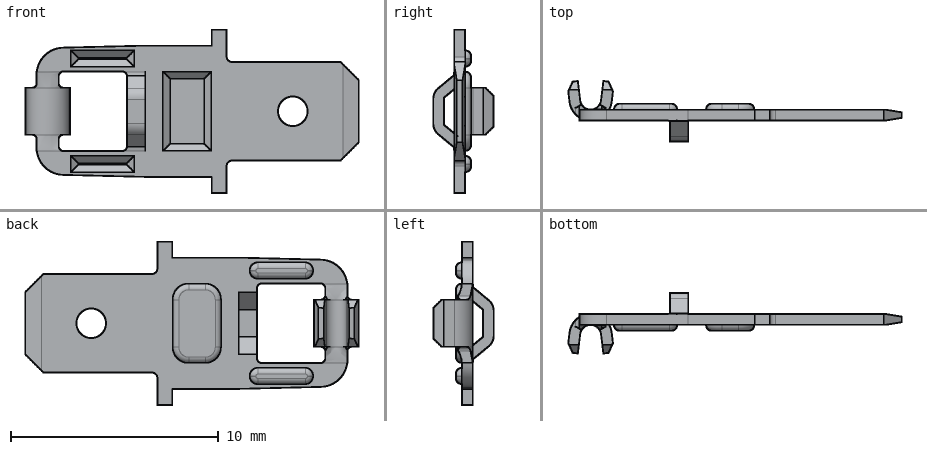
import cadquery as cq
import math

sheet = 0.53

length = 16.07
frame_start_x = 0.55
frame_corner_radius = 1.32
frame_half = 3.17
taper_angle = math.radians(1.4)
taper_end_x = 5.75
shoulder_start_x = 8.98
shoulder_end_x = 9.7
shoulder_half = 3.94
shoulder_fillet = 0.25
blade_half = 2.38
blade_hole_x = 12.89
blade_hole_diameter = 1.41
blade_corner_chamfer = 0.88
blade_bevel_length = 0.77
blade_bevel_depth = 0.13

window_half = 1.91
window_end_x = 5.79
window_corner_fillet = 0.22

emboss_depth = 0.29
emboss_wall_run = 0.35
rib_start_x = 2.2
rib_end_x = 5.25
rib_width = 0.79
rib_corner_radius = 0.39
rib_centre_z = 2.54
pad_start_x = 6.64
pad_end_x = 8.97
pad_corner_radius = 0.77

bridge_start_x = 4.9
bridge_reach = 1.01
bridge_arm_angle = math.radians(50.5)
bridge_inner_flat_half = 0.66
bridge_outer_radius = 0.69
bridge_foot_y = -0.03

clip_radius = 1.03
clip_inner_radius = clip_radius - sheet
clip_half_height = 1.14
clip_arm_angle = math.radians(7)
clip_top_y = 1.91
clip_bevel_length = 0.45
clip_tip_thickness = 0.25
clip_corner_chamfer = 0.42
clip_arc_end = math.pi / 2 - clip_arm_angle
clip_arm_length = (clip_top_y - clip_radius) / math.cos(clip_arm_angle)
clip_arm_length += clip_inner_radius * math.tan(clip_arm_angle)
clip_bevel_start = clip_arm_length - clip_bevel_length
clip_centre_x = clip_radius * math.cos(clip_arm_angle) + clip_bevel_start * math.sin(clip_arm_angle)

web_end_x = 1.62
web_clip_fillet = 0.2
web_half_angle = math.radians(60)


def front_plane(y):
    """Sketch plane with local axes X and Z; extrusion runs towards +Y."""
    return cq.Workplane(cq.Plane(origin=(0, y, 0), xDir=(1, 0, 0), normal=(0, -1, 0)))


def block(x_start, x_end, y_start, y_end, z_start, z_end):
    size = (x_end - x_start, y_end - y_start, z_end - z_start)
    return cq.Workplane("XY").box(*size, centered=False).translate((x_start, y_start, z_start))


def mirrored(body):
    """Join a body with its mirror image across the centre plane Z = 0."""
    return body.union(body.mirror("XY"))


def make_plate():
    corner_x = frame_start_x + frame_corner_radius
    arc_end_x = corner_x - frame_corner_radius * math.sin(taper_angle)
    arc_end_z = frame_half - (taper_end_x - arc_end_x) * math.tan(taper_angle)
    corner_z = arc_end_z - frame_corner_radius * math.cos(taper_angle)
    half_plate = (
        front_plane(0)
        .moveTo(frame_start_x, 0)
        .lineTo(frame_start_x, corner_z)
        .tangentArcPoint((arc_end_x, arc_end_z), relative=False)
        .lineTo(taper_end_x, frame_half)
        .lineTo(shoulder_start_x, frame_half)
        .lineTo(shoulder_start_x, shoulder_half)
        .lineTo(shoulder_end_x, shoulder_half)
        .lineTo(shoulder_end_x, blade_half + shoulder_fillet)
        .radiusArc((shoulder_end_x + shoulder_fillet, blade_half), -shoulder_fillet)
        .lineTo(length - blade_corner_chamfer, blade_half)
        .lineTo(length, blade_half - blade_corner_chamfer)
        .lineTo(length, 0)
        .close()
        .extrude(-sheet)
    )
    window = block(0, window_end_x, 0, sheet, -window_half, window_half)
    hole = front_plane(0).center(blade_hole_x, 0).circle(blade_hole_diameter / 2).extrude(-sheet)
    return mirrored(half_plate).cut(window).cut(hole)


def make_blade_bevel():
    """Wedge removed from the front face at the blade tip."""
    return (
        cq.Workplane("XY")
        .polyline([(length - blade_bevel_length, 0), (length, 0), (length, blade_bevel_depth)])
        .close()
        .extrude(blade_half, both=True)
    )


def emboss(plate, x_start, x_end, z_centre, width, corner_radius):
    """Raise a rounded bump on the back and sink a sloped-wall pocket in the front."""
    x_centre = (x_start + x_end) / 2
    x_size = x_end - x_start
    bump = (
        front_plane(0)
        .center(x_centre, z_centre)
        .rect(x_size, width)
        .extrude(-sheet - emboss_depth)
        .edges("|Y").fillet(corner_radius)
        .faces(">Y").edges().fillet(emboss_depth)
    )
    pocket = (
        front_plane(0)
        .center(x_centre, z_centre)
        .rect(x_size, width)
        .workplane(offset=-emboss_depth)
        .rect(x_size - 2 * emboss_wall_run, width - 2 * emboss_wall_run)
        .loft(ruled=True)
    )
    return plate.union(bump).cut(pocket)


def make_bridge():
    inner_y = sheet - bridge_reach
    arm_slope = math.tan(bridge_arm_angle)
    corner_half = bridge_inner_flat_half + sheet * math.tan(bridge_arm_angle / 2)
    foot_half = corner_half + (bridge_foot_y + bridge_reach) / arm_slope
    inner_back_half = bridge_inner_flat_half + bridge_reach / arm_slope
    start_x = bridge_start_x - window_corner_fillet
    half_outline = [
        (-bridge_reach, 0),
        (-bridge_reach, corner_half),
        (bridge_foot_y, foot_half),
        (0, window_half),
        (sheet, window_half),
        (sheet, inner_back_half),
        (inner_y, bridge_inner_flat_half),
        (inner_y, 0),
    ]
    half_bridge = (
        cq.Workplane("YZ", origin=(start_x, 0, 0))
        .polyline(half_outline)
        .close()
        .extrude(window_end_x - start_x)
        .edges(cq.NearestToPointSelector((window_end_x / 2 + start_x / 2, -bridge_reach, corner_half)))
        .fillet(bridge_outer_radius)
    )
    flared_half = (
        front_plane(-bridge_reach)
        .moveTo(bridge_start_x, 0)
        .lineTo(bridge_start_x, window_half - window_corner_fillet)
        .radiusArc((start_x, window_half), -window_corner_fillet)
        .lineTo(window_end_x, window_half)
        .lineTo(window_end_x, 0)
        .close()
        .extrude(-bridge_reach - sheet)
    )
    return mirrored(half_bridge.intersect(flared_half))


def clip_point(radius, angle, along_arm=0.0):
    """Point on the -X half of the clip, angle measured from straight down at the bottom."""
    x = -radius * math.sin(angle) - along_arm * math.cos(angle)
    y = clip_radius - radius * math.cos(angle) + along_arm * math.sin(angle)
    return (clip_centre_x + x, y)


def make_clip():
    half_clip = (
        cq.Workplane("XY")
        .moveTo(clip_centre_x, 0)
        .threePointArc(clip_point(clip_radius, clip_arc_end / 2), clip_point(clip_radius, clip_arc_end))
        .lineTo(*clip_point(clip_radius, clip_arc_end, clip_bevel_start))
        .lineTo(*clip_point(clip_inner_radius + clip_tip_thickness, clip_arc_end, clip_arm_length))
        .lineTo(*clip_point(clip_inner_radius, clip_arc_end, clip_arm_length))
        .lineTo(*clip_point(clip_inner_radius, clip_arc_end))
        .threePointArc(clip_point(clip_inner_radius, clip_arc_end / 2), (clip_centre_x, sheet))
        .close()
        .extrude(clip_half_height, both=True)
    )
    trim_y = clip_top_y - clip_corner_chamfer
    tip_half = clip_half_height - clip_corner_chamfer
    silhouette = (
        cq.Workplane("YZ")
        .polyline([
            (0, -clip_half_height),
            (trim_y, -clip_half_height),
            (clip_top_y, -tip_half),
            (clip_top_y, tip_half),
            (trim_y, clip_half_height),
            (0, clip_half_height),
        ])
        .close()
        .extrude(2 * clip_centre_x)
    )
    half_clip = half_clip.intersect(silhouette)
    other_half = half_clip.mirror("YZ", (clip_centre_x, 0, 0))
    return half_clip.union(other_half)


def make_webs():
    half_width = clip_radius * math.sin(web_half_angle)
    curved_end = (
        cq.Workplane("XY")
        .workplane(offset=clip_half_height)
        .moveTo(*clip_point(clip_radius, web_half_angle))
        .threePointArc((clip_centre_x, 0), clip_point(clip_radius, -web_half_angle))
        .lineTo(*clip_point(clip_inner_radius, -web_half_angle))
        .threePointArc((clip_centre_x, sheet), clip_point(clip_inner_radius, web_half_angle))
        .close()
    )
    twisted = (
        curved_end
        .workplane(offset=window_half - clip_half_height)
        .moveTo(clip_centre_x - half_width, 0)
        .lineTo(clip_centre_x + half_width, 0)
        .lineTo(clip_centre_x + half_width, sheet)
        .lineTo(clip_centre_x - half_width, sheet)
        .close()
        .loft(ruled=True)
    )
    planform = (
        front_plane(0)
        .moveTo(frame_start_x - web_clip_fillet, clip_half_height)
        .radiusArc((frame_start_x, clip_half_height + web_clip_fillet), -web_clip_fillet)
        .lineTo(frame_start_x, window_half)
        .lineTo(web_end_x + window_corner_fillet, window_half)
        .radiusArc((web_end_x, window_half - window_corner_fillet), -window_corner_fillet)
        .lineTo(web_end_x, clip_half_height + web_clip_fillet)
        .radiusArc((web_end_x + web_clip_fillet, clip_half_height), -web_clip_fillet)
        .close()
        .extrude(-clip_radius)
    )
    return mirrored(twisted.intersect(planform))


bevel = make_blade_bevel()
plate = make_plate().cut(bevel).cut(bevel.mirror("XZ", (0, sheet / 2, 0)))
for centre_z in (-rib_centre_z, rib_centre_z):
    plate = emboss(plate, rib_start_x, rib_end_x, centre_z, rib_width, rib_corner_radius)
plate = emboss(plate, pad_start_x, pad_end_x, 0, 2 * window_half, pad_corner_radius)

result = plate.union(make_bridge()).union(make_webs()).union(make_clip())